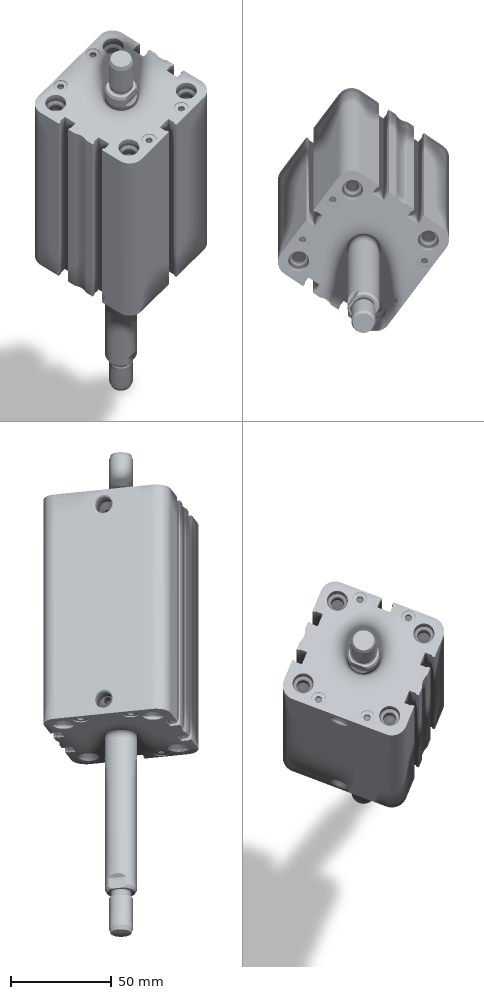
import cadquery as cq

side = 65.5
corner_radius = 7.6
body_height = 119.8
cap_height = 14.0
half_side = side / 2
overall_length = 255.0

slot_depth = 5.4
lip_thickness = 1.5
slot_width = 7.0
lip_width = 0.5
slot_offset = 10.7
groove_width = 7.0
groove_depth = 0.9

rod_diameter = 16.0
rod_top_length = 30.0
thread_diameter = 12.0
thread_tip_diameter = 10.5
thread_tip_chamfer = 2.3
undercut_diameter = 10.5
thread_length = 18.4
undercut_chamfer = 0.8
shoulder_distance = 21.7
shoulder_diameter = 14.5
shoulder_chamfer = 1.5
flat_width = 13.0
flat_length = 5.9

rod_mouth_diameter = 18.0
rod_mouth_depth = 0.8
corner_hole_offset = 23.2
counterbore_diameter = 10.5
counterbore_depth = 4.5
corner_hole_mouth_diameter = 7.6
corner_hole_diameter = 6.6
corner_hole_depth = 9.2
screw_offset_x = 28.0
screw_offset_y = 13.0
screw_recess_diameter = 7.5
screw_recess_depth = 0.5
screw_socket_diameter = 3.5
screw_socket_depth = 2.5
port_distance = 8.0
port_mouth_diameter = 10.0
port_diameter = 8.7
port_depth = 7.6
air_hole_diameter = 3.5
air_hole_shift = 2.0
air_hole_depth = 5.0


def block(height):
    """Rounded square prism standing on Z = 0."""
    return cq.Workplane("XY").rect(side, side).extrude(height).edges("|Z").fillet(corner_radius)


def slot_cutter(height, center):
    """T slot running along Z in the -Y side."""
    neck_width = slot_width - 2 * lip_width
    neck = cq.Workplane("XY").box(neck_width, slot_depth, height, centered=(True, False, False))
    neck = neck.translate((center, -half_side, 0))
    wide_depth = slot_depth - lip_thickness
    wide = cq.Workplane("XY").box(slot_width, wide_depth, height, centered=(True, False, False))
    wide = wide.translate((center, lip_thickness - half_side, 0))
    return neck.union(wide)


def groove_cutter(height):
    """Shallow round groove along Z in the middle of the -Y side."""
    radius = (groove_width**2 / 4 + groove_depth**2) / (2 * groove_depth)
    axis_y = groove_depth - radius - half_side
    return cq.Workplane("XY").center(0, axis_y).circle(radius).extrude(height)


def profile(height):
    """Slotted prism shared by the barrel and the caps."""
    slot = slot_cutter(height, slot_offset)
    cutters = slot.union(slot.mirror("YZ")).union(groove_cutter(height))
    body = block(height).cut(cutters).cut(cutters.mirror("XZ"))
    side_slot = slot_cutter(height, 0).rotate((0, 0, 0), (0, 0, 1), 90)
    return body.cut(side_slot)


def cone(mouth_diameter, inner_diameter, depth):
    """Countersink cutter whose mouth lies on Z = 0 and which narrows downwards."""
    mouth = cq.Workplane("XY").circle(mouth_diameter / 2)
    return mouth.workplane(offset=-depth).circle(inner_diameter / 2).loft(ruled=True)


def drill(diameter, depth):
    """Cylindrical cutter going down from Z = 0."""
    return cq.Workplane("XY").circle(diameter / 2).extrude(-depth)


def corner_hole_cutter():
    """Counterbored mounting hole with a chamfered edge on its counterbore floor."""
    chamfer = (corner_hole_mouth_diameter - corner_hole_diameter) / 2
    mouth = cone(corner_hole_mouth_diameter, corner_hole_diameter, chamfer)
    mouth = mouth.translate((0, 0, -counterbore_depth))
    hole = drill(corner_hole_diameter, corner_hole_depth)
    return drill(counterbore_diameter, counterbore_depth).union(hole).union(mouth)


def screw_cutter():
    """Shallow round recess with a smaller blind hole in its floor."""
    return drill(screw_recess_diameter, screw_recess_depth).union(
        drill(screw_socket_diameter, screw_socket_depth)
    )


def port_cutter():
    """Air port going into the -X side, with a small hole in its floor."""
    chamfer = (port_mouth_diameter - port_diameter) / 2
    port = drill(port_diameter, port_depth).union(cone(port_mouth_diameter, port_diameter, chamfer))
    air_hole = drill(air_hole_diameter, port_depth + air_hole_depth).translate((-air_hole_shift, 0, 0))
    port = port.union(air_hole)
    return port.rotate((0, 0, 0), (0, 1, 0), -90)


def make_top_cap():
    """Cap built with its outer face on Z = 0, then raised to the top of the body."""
    cap = profile(cap_height).translate((0, 0, -cap_height))
    cap = cap.cut(drill(rod_diameter, cap_height))
    cap = cap.cut(cone(rod_mouth_diameter, rod_diameter, rod_mouth_depth))
    for sign_x in (-1, 1):
        for sign_y in (-1, 1):
            corner = (sign_x * corner_hole_offset, sign_y * corner_hole_offset, 0)
            cap = cap.cut(corner_hole_cutter().translate(corner))
            screw = (sign_x * screw_offset_x, sign_y * screw_offset_y, 0)
            cap = cap.cut(screw_cutter().translate(screw))
    cap = cap.cut(port_cutter().translate((-half_side, 0, -port_distance)))
    return cap.translate((0, 0, body_height))


def make_barrel():
    """Slotted prism between the caps, bored for the rod."""
    height = body_height - 2 * cap_height
    bore = cq.Workplane("XY").circle(rod_diameter / 2).extrude(height)
    return profile(height).cut(bore).translate((0, 0, cap_height))


def flat_cutter():
    """Cutter for one wrench flat on the +X side, with a 45 degree run-out away from the thread."""
    rod_radius = rod_diameter / 2
    flat_x = flat_width / 2
    flat_end = -shoulder_distance - flat_length
    outline = [
        (flat_x, -shoulder_distance),
        (flat_x, flat_end),
        (rod_radius, flat_end - (rod_radius - flat_x)),
        (rod_radius, -shoulder_distance),
    ]
    return cq.Workplane("XZ").polyline(outline).close().extrude(rod_radius, both=True)


def half_rod(length):
    """Rod end pointing up, with its tip on Z = 0."""
    outline = [
        (0, 0),
        (thread_tip_diameter / 2, 0),
        (thread_diameter / 2, -thread_tip_chamfer),
        (thread_diameter / 2, -thread_length),
        (undercut_diameter / 2, -thread_length - undercut_chamfer),
        (undercut_diameter / 2, -shoulder_distance),
        (shoulder_diameter / 2, -shoulder_distance),
        (rod_diameter / 2, -shoulder_distance - shoulder_chamfer),
        (rod_diameter / 2, -length),
        (0, -length),
    ]
    rod = cq.Workplane("XZ").polyline(outline).close().revolve(360, (0, 0), (0, 1))
    return rod.cut(flat_cutter()).cut(flat_cutter().mirror("YZ"))


def make_rod():
    """Through rod with two equal threaded ends."""
    half = half_rod(overall_length / 2)
    rod = half.union(half.mirror("XY", (0, 0, -overall_length / 2)))
    return rod.translate((0, 0, body_height + rod_top_length))


top_cap = make_top_cap()
bottom_cap = top_cap.mirror("XY", (0, 0, body_height / 2))
barrel = make_barrel()
rod = make_rod()

result = cq.Compound.makeCompound([top_cap.val(), barrel.val(), bottom_cap.val(), rod.val()])